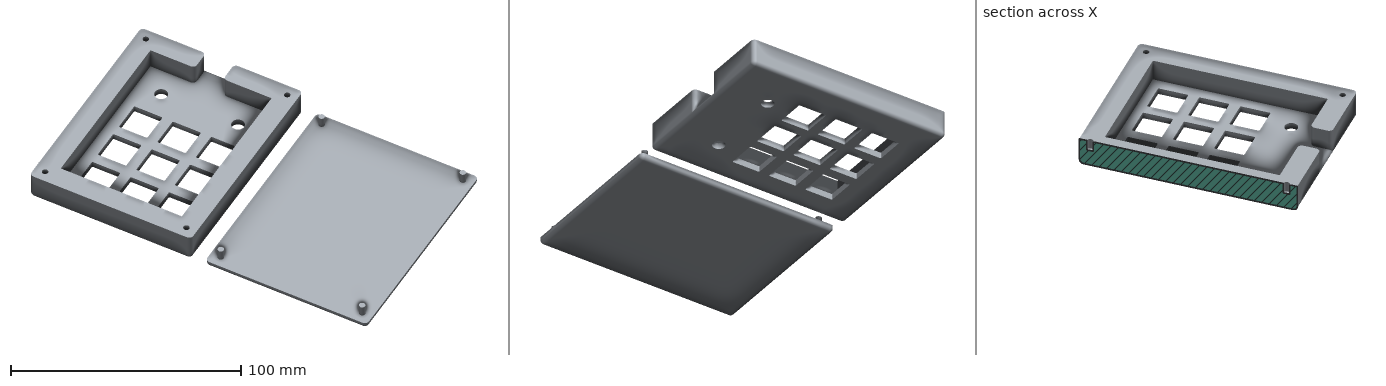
import cadquery as cq
import math

plate_width = 80.0
plate_length = 101.0
total_width = 167.0
edge_radius = 2.0

case_height = 13.0
wall = 10.0
floor_thickness = 3.0

notch_width = 14.0
notch_center_x = -1.0

keys_per_side = 3
key_size = 14.0
key_pitch = 19.0
key_corner_radius = 0.5
keys_center_x = 1.5
keys_center_y = -10.0

round_hole_diameter = 6.0
round_hole_spacing = 2 * key_pitch
round_holes_center_x = 1.2
round_hole_y = 28.0

cover_thickness = 3.0
pin_diameter = 2.8
pin_height = 5.0
pin_inset = wall / 2

rear_y = plate_length / 2
cover_center_x = total_width - plate_width
corner_points = [
    (side_x * (plate_width / 2 - pin_inset), side_y * (plate_length / 2 - pin_inset))
    for side_x in (-1, 1)
    for side_y in (-1, 1)
]


def rounded_plate(height):
    """Plate with its bottom at Z = 0, rounded at the upright corners and around the bottom."""
    plate = cq.Workplane("XY").box(plate_width, plate_length, height, centered=(True, True, False))
    return plate.edges("|Z").fillet(edge_radius).faces("<Z").edges().fillet(edge_radius)


def pocket():
    """Rectangular space above the floor, inside the walls."""
    return (
        cq.Workplane("XY")
        .workplane(offset=floor_thickness)
        .rect(plate_width - 2 * wall, plate_length - 2 * wall)
        .extrude(case_height - floor_thickness)
    )


def notch(base_z):
    """Opening through the rear wall, flaring with round corners at both of its mouths."""
    half_width = notch_width / 2
    mouth = half_width + edge_radius
    inner_y = rear_y - wall
    arc_step = edge_radius * (1 - math.sqrt(0.5))
    return (
        cq.Workplane("XY", origin=(notch_center_x, 0, base_z))
        .moveTo(-mouth, rear_y)
        .lineTo(mouth, rear_y)
        .threePointArc((half_width + arc_step, rear_y - arc_step), (half_width, rear_y - edge_radius))
        .lineTo(half_width, inner_y + edge_radius)
        .threePointArc((half_width + arc_step, inner_y + arc_step), (mouth, inner_y))
        .lineTo(-mouth, inner_y)
        .threePointArc((-half_width - arc_step, inner_y + arc_step), (-half_width, inner_y + edge_radius))
        .lineTo(-half_width, rear_y - edge_radius)
        .threePointArc((-half_width - arc_step, rear_y - arc_step), (-mouth, rear_y))
        .close()
        .extrude(case_height - base_z)
    )


def lip_rounding():
    """Material removed to round the rear edge of the floor inside the notch."""
    reach = notch_width + 2 * edge_radius
    center_y = rear_y - edge_radius
    center_z = floor_thickness - edge_radius
    corner = (
        cq.Workplane("XY")
        .box(reach, edge_radius, edge_radius, centered=(True, False, False))
        .translate((notch_center_x, center_y, center_z))
    )
    round_edge = (
        cq.Workplane("YZ", origin=(notch_center_x - reach / 2, center_y, center_z))
        .circle(edge_radius)
        .extrude(reach)
    )
    return corner.cut(round_edge).intersect(notch(center_z))


def key_openings():
    """Grid of square openings through the floor."""
    return (
        cq.Workplane("XY")
        .center(keys_center_x, keys_center_y)
        .rarray(key_pitch, key_pitch, keys_per_side, keys_per_side)
        .rect(key_size, key_size)
        .extrude(floor_thickness)
        .edges("|Z")
        .fillet(key_corner_radius)
    )


def round_openings():
    """Pair of round holes through the floor, spaced like the outer key columns."""
    return (
        cq.Workplane("XY")
        .center(round_holes_center_x, round_hole_y)
        .pushPoints([(-round_hole_spacing / 2, 0), (round_hole_spacing / 2, 0)])
        .circle(round_hole_diameter / 2)
        .extrude(floor_thickness)
    )


def pin_cylinders(base_z):
    """Four corner cylinders: the cover's pins, and the blind holes in the case that take them."""
    return (
        cq.Workplane("XY")
        .workplane(offset=base_z)
        .pushPoints(corner_points)
        .circle(pin_diameter / 2)
        .extrude(pin_height)
    )


def build_case():
    case = rounded_plate(case_height).cut(pocket())
    case = case.cut(notch(floor_thickness)).cut(lip_rounding())
    case = case.cut(key_openings()).cut(round_openings())
    return case.cut(pin_cylinders(case_height - pin_height))


def build_cover():
    cover = rounded_plate(cover_thickness).union(pin_cylinders(cover_thickness))
    return cover.translate((cover_center_x, 0, 0))


case = build_case()
cover = build_cover()

result = cq.Compound.makeCompound([case.val(), cover.val()])